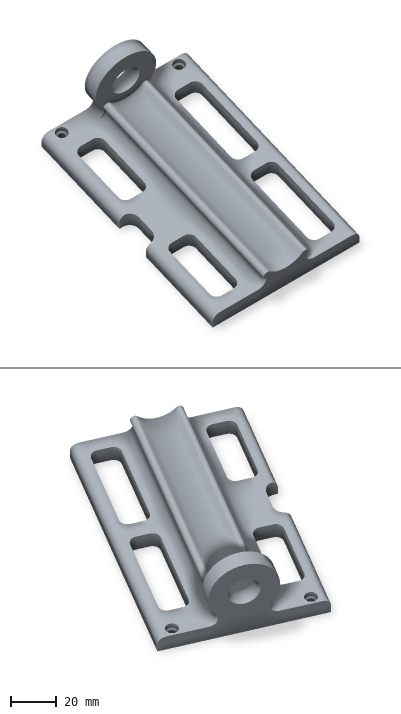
import cadquery as cq
import math

length = 126.0
width = 80.0
plate_thickness = 8.0
edge_radius = 4.0

ring_thickness = 8.1
ring_radius = 16.5
bore_diameter = 15.0
height = 41.5
axis_z = height - ring_radius

groove_radius = 12.5
lip_radius = (ring_radius - groove_radius) / 2
lip_z = 14.7
undercut_radius = 3.0
undercut_z_min = 11.8
rail_fillet = 4.8

neck_fillet = 4.0

window_x_min = 15.1
window_x_max = 119.0
window_width = 14.1
window_y = 26.6
long_window = 47.8
short_window = 36.7
window_corner = 3.8

notch_x = 67.0
notch_width = 19.5
notch_depth = 6.9
notch_corner = 5.0

screw_x = ring_thickness / 2
screw_y = 32.0
screw_diameter = 3.5
counterbore_diameter = 6.0
counterbore_depth = 2.5


def blend_circle(radius):
    """Centre of a circle touching the plate top and the ring circle, then its touch point on the ring."""
    centre_z = plate_thickness + radius
    reach = ring_radius + radius
    drop = axis_z - centre_z
    centre_y = math.sqrt(reach**2 - drop**2)
    touch_y = centre_y * ring_radius / reach
    touch_z = axis_z - drop * ring_radius / reach
    return centre_y, centre_z, touch_y, touch_z


def make_plate():
    """Flat plate with its two long top edges rounded."""
    plate = cq.Workplane("XY").box(length, width, plate_thickness, centered=(False, True, False))
    return plate.edges("|X and >Z").fillet(edge_radius)


def make_ring():
    """Round upright whose neck flows into the plate."""
    fillet_y, fillet_z, touch_y, touch_z = blend_circle(neck_fillet)
    neck_y = fillet_y - neck_fillet
    return (
        cq.Workplane("YZ")
        .moveTo(-fillet_y, 0)
        .lineTo(fillet_y, 0)
        .lineTo(fillet_y, plate_thickness)
        .threePointArc((neck_y, fillet_z), (touch_y, touch_z))
        .threePointArc((0, height), (-touch_y, touch_z))
        .threePointArc((-neck_y, fillet_z), (-fillet_y, plate_thickness))
        .close()
        .extrude(ring_thickness)
    )


def make_rail():
    """Full-length rail with a round groove on top and an undercut below each lip."""
    lip_reach = groove_radius + lip_radius
    lip_drop = axis_z - lip_z
    lip_y = math.sqrt(lip_reach**2 - lip_drop**2)
    inner_y = lip_y * groove_radius / lip_reach
    inner_z = axis_z - lip_drop * groove_radius / lip_reach
    outer_y = lip_y * ring_radius / lip_reach
    outer_z = axis_z - lip_drop * ring_radius / lip_reach
    top_z = lip_z + lip_radius
    undercut_y, undercut_z, touch_y, touch_z = blend_circle(undercut_radius)
    middle_z = (touch_z + undercut_z_min) / 2
    middle_y = undercut_y - math.sqrt(undercut_radius**2 - (middle_z - undercut_z) ** 2)
    start_y = undercut_y - math.sqrt(undercut_radius**2 - (undercut_z_min - undercut_z) ** 2)
    rail_fillet_z = plate_thickness + rail_fillet
    foot_y = start_y + math.sqrt(rail_fillet**2 - (rail_fillet_z - undercut_z_min) ** 2)
    curve_y = foot_y - rail_fillet * math.cos(math.pi / 4)
    curve_z = rail_fillet_z - rail_fillet * math.sin(math.pi / 4)
    return (
        cq.Workplane("YZ")
        .moveTo(-foot_y, 0)
        .lineTo(foot_y, 0)
        .lineTo(foot_y, plate_thickness)
        .threePointArc((curve_y, curve_z), (start_y, undercut_z_min))
        .threePointArc((middle_y, middle_z), (touch_y, touch_z))
        .lineTo(outer_y, outer_z)
        .threePointArc((lip_y, top_z), (inner_y, inner_z))
        .threePointArc((0, axis_z - groove_radius), (-inner_y, inner_z))
        .threePointArc((-lip_y, top_z), (-outer_y, outer_z))
        .lineTo(-touch_y, touch_z)
        .threePointArc((-middle_y, middle_z), (-start_y, undercut_z_min))
        .threePointArc((-curve_y, curve_z), (-foot_y, plate_thickness))
        .close()
        .extrude(length)
    )


def make_windows():
    """Two long windows on the +Y side and two short ones on the -Y side."""
    cutter = cq.Workplane("XY")
    for side, window_length in ((1, long_window), (-1, short_window)):
        for x in (window_x_min + window_length / 2, window_x_max - window_length / 2):
            window = (
                cq.Workplane("XY")
                .center(x, side * window_y)
                .rect(window_length, window_width)
                .extrude(plate_thickness)
                .edges("|Z")
                .fillet(window_corner)
            )
            cutter = cutter.add(window)
    return cutter.combine()


def make_notch():
    """Notch in the -Y edge with rounded inner corners."""
    return (
        cq.Workplane("XY")
        .center(notch_x, -width / 2)
        .rect(notch_width, 2 * notch_depth)
        .extrude(plate_thickness)
        .edges("|Z and >Y")
        .fillet(notch_corner)
    )


body = make_plate().union(make_rail()).union(make_ring())
body = body.cut(make_windows()).cut(make_notch())

body = (
    body.copyWorkplane(cq.Workplane("XY", origin=(0, 0, plate_thickness)))
    .pushPoints([(screw_x, screw_y), (screw_x, -screw_y)])
    .cboreHole(screw_diameter, counterbore_diameter, counterbore_depth, plate_thickness)
)

bore = cq.Workplane("YZ").center(0, axis_z).circle(bore_diameter / 2).extrude(ring_thickness)

result = body.cut(bore)